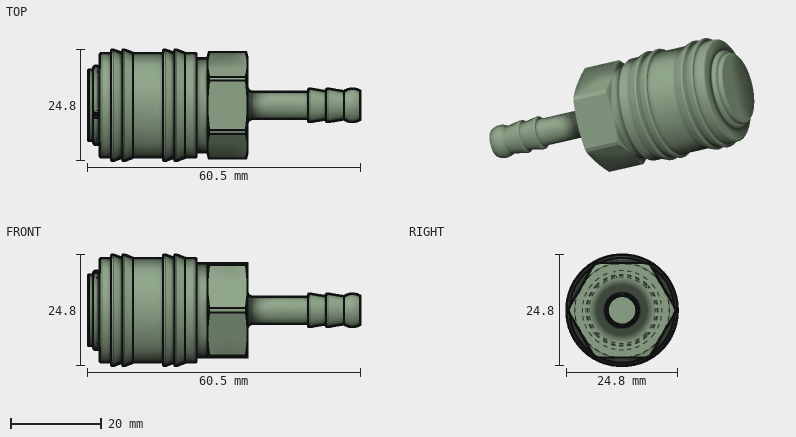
import cadquery as cq
import math

TOTAL_LENGTH = 60.5

NOSE_RADIUS = 16.0 / 2
NOSE_CHAMFER = 0.25

SLEEVE_START = 2.6
SLEEVE_END = 24.15
SLEEVE_RADIUS = 23.3 / 2
SLEEVE_ROUNDING = 0.55
GRIP_TIP_RADIUS = 24.8 / 2
GRIP_TIP_ROUNDING = 0.395
GRIP_VALLEY_ROUNDING = 0.25
GRIP_LENGTH = 2.4
GRIP_PITCH = 2.5
GRIP_PAIR_STARTS = (5.15, 16.7)

WIRE_RADIUS = 0.7
RING_RADIUS = 8.1
RING_X = SLEEVE_START - WIRE_RADIUS
RING_GAP = 1.0
RING_GAP_ANGLE = 14.0
RING_GAP_TILT = 25.0

NECK_RADIUS = 21.0 / 2
HEX_ACROSS_FLATS = 21.0
HEX_START = 26.55
HEX_END = 35.45
HEX_TURNED_RADIUS = 23.7 / 2
HEX_FACE_RADIUS = 21.1 / 2
HEX_CHAMFER_ANGLE = 15.0

STEM_RADIUS = 6.1 / 2
STEM_FILLET = 1.0
BARB_START = 48.95
BARB_ROOT_RADIUS = 3.15
BARB_TIP_RADIUS = 3.75
BARB_TIP_ROUNDING = 0.3
BARB_VALLEY_ROUNDING = 0.27
BARB_LENGTH = 4.0
BARB_PITCH = BARB_LENGTH
BEAD_CREST_X = 58.7
BEAD_RADIUS = BARB_TIP_RADIUS
BEAD_END_RADIUS = 3.2


def add_sawtooth_pair(outline, start, pitch, length, base, tip, tip_rounding, valley_rounding):
    """Extend an outline by two sawtooth ribs with rounded tips.

    Each rib rises steeply and slopes back to the base radius. The first slope
    runs into the wall of the second rib through a small concave arc.
    """
    run = length - tip_rounding
    centre_height = tip - tip_rounding - base
    slope = math.atan2(centre_height, run) + math.asin(tip_rounding / math.hypot(run, centre_height))

    def arc_point(centre_x, centre_r, radius, angle):
        return (centre_x + radius * math.cos(angle), centre_r + radius * math.sin(angle))

    def add_wall_and_tip(path, wall_x):
        centre = (wall_x + tip_rounding, tip - tip_rounding)
        slope_start = math.pi / 2 - slope
        return path.lineTo(wall_x, centre[1]).threePointArc(
            arc_point(*centre, tip_rounding, (math.pi + slope_start) / 2),
            arc_point(*centre, tip_rounding, slope_start),
        )

    def add_valley(path, rib_x, wall_x):
        tangent_x = wall_x - valley_rounding * (1 + math.sin(slope))
        tangent_r = base + (rib_x + length - tangent_x) * math.tan(slope)
        centre = (wall_x - valley_rounding, tangent_r + valley_rounding * math.cos(slope))
        return path.lineTo(tangent_x, tangent_r).threePointArc(
            arc_point(*centre, valley_rounding, -(math.pi / 2 + slope) / 2),
            (wall_x, centre[1]),
        )

    second = start + pitch
    outline = add_wall_and_tip(outline.lineTo(start, base), start)
    outline = add_valley(outline, start, second)
    return add_wall_and_tip(outline, second).lineTo(second + length, base)


def revolve_about_x(outline):
    return outline.close().revolve(360, (0, 0, 0), (1, 0, 0))


def make_nose_and_sleeve():
    """Nose, ribbed sleeve and neck as one turned solid, up to the hexagon."""
    rounding_middle = SLEEVE_ROUNDING * (1 - math.sqrt(0.5))
    outline = (
        cq.Workplane("XY")
        .moveTo(0, 0)
        .lineTo(0, NOSE_RADIUS - NOSE_CHAMFER)
        .lineTo(NOSE_CHAMFER, NOSE_RADIUS)
        .lineTo(SLEEVE_START, NOSE_RADIUS)
        .lineTo(SLEEVE_START, SLEEVE_RADIUS - SLEEVE_ROUNDING)
        .threePointArc(
            (SLEEVE_START + rounding_middle, SLEEVE_RADIUS - rounding_middle),
            (SLEEVE_START + SLEEVE_ROUNDING, SLEEVE_RADIUS),
        )
    )
    for pair_start in GRIP_PAIR_STARTS:
        outline = add_sawtooth_pair(
            outline, pair_start, GRIP_PITCH, GRIP_LENGTH, SLEEVE_RADIUS,
            GRIP_TIP_RADIUS, GRIP_TIP_ROUNDING, GRIP_VALLEY_ROUNDING,
        )
    outline = (
        outline.lineTo(SLEEVE_END - SLEEVE_ROUNDING, SLEEVE_RADIUS)
        .threePointArc(
            (SLEEVE_END - rounding_middle, SLEEVE_RADIUS - rounding_middle),
            (SLEEVE_END, SLEEVE_RADIUS - SLEEVE_ROUNDING),
        )
        .lineTo(SLEEVE_END, NECK_RADIUS)
        .lineTo(HEX_START, NECK_RADIUS)
        .lineTo(HEX_START, 0)
    )
    return revolve_about_x(outline)


def make_hexagon():
    """Hexagon with flats facing +Z and -Z, its corners turned down and chamfered."""
    across_corners = HEX_ACROSS_FLATS / math.cos(math.radians(30))
    prism = (
        cq.Workplane("YZ")
        .workplane(offset=HEX_START)
        .polygon(6, across_corners)
        .extrude(HEX_END - HEX_START)
    )
    chamfer = (HEX_TURNED_RADIUS - HEX_FACE_RADIUS) * math.tan(math.radians(HEX_CHAMFER_ANGLE))
    turned_outline = (
        cq.Workplane("XY")
        .moveTo(HEX_START, 0)
        .lineTo(HEX_START, HEX_FACE_RADIUS)
        .lineTo(HEX_START + chamfer, HEX_TURNED_RADIUS)
        .lineTo(HEX_END - chamfer, HEX_TURNED_RADIUS)
        .lineTo(HEX_END, HEX_FACE_RADIUS)
        .lineTo(HEX_END, 0)
    )
    return prism.intersect(revolve_about_x(turned_outline))


def make_hose_stem():
    """Barbed stem, filleted where it leaves the hexagon."""
    fillet_middle = STEM_FILLET * (1 - math.sqrt(0.5))
    outline = (
        cq.Workplane("XY")
        .moveTo(HEX_END, 0)
        .lineTo(HEX_END, STEM_RADIUS + STEM_FILLET)
        .threePointArc(
            (HEX_END + fillet_middle, STEM_RADIUS + fillet_middle),
            (HEX_END + STEM_FILLET, STEM_RADIUS),
        )
    )
    outline = add_sawtooth_pair(
        outline.lineTo(BARB_START, STEM_RADIUS), BARB_START, BARB_PITCH, BARB_LENGTH, BARB_ROOT_RADIUS,
        BARB_TIP_RADIUS, BARB_TIP_ROUNDING, BARB_VALLEY_ROUNDING,
    )
    outline = (
        outline.threePointArc((BEAD_CREST_X, BEAD_RADIUS), (TOTAL_LENGTH, BEAD_END_RADIUS))
        .lineTo(TOTAL_LENGTH, 0)
    )
    return revolve_about_x(outline)


def make_closed_ring():
    """Full wire ring resting against the front of the sleeve."""
    return (
        cq.Workplane("XY")
        .center(RING_X, RING_RADIUS)
        .circle(WIRE_RADIUS)
        .revolve(360, (0, -RING_RADIUS, 0), (1, -RING_RADIUS, 0))
    )


def make_split_ring():
    """Wire ring opened by a parallel-sided gap near its top."""
    gap_angle = math.radians(RING_GAP_ANGLE)
    gap_size = 4 * WIRE_RADIUS
    gap = (
        cq.Workplane("XY")
        .box(gap_size, RING_GAP, gap_size)
        .rotate((0, 0, 0), (1, 0, 0), RING_GAP_TILT)
        .translate((RING_X, -RING_RADIUS * math.sin(gap_angle), RING_RADIUS * math.cos(gap_angle)))
    )
    return make_closed_ring().cut(gap)


def make_coupling():
    """Turned body, hexagon and stem in one piece, with a round groove for the ring."""
    body = make_nose_and_sleeve().union(make_hexagon()).union(make_hose_stem())
    return body.cut(make_closed_ring())


coupling = make_coupling()
split_ring = make_split_ring()

result = cq.Compound.makeCompound([coupling.solids().val(), split_ring.solids().val()])